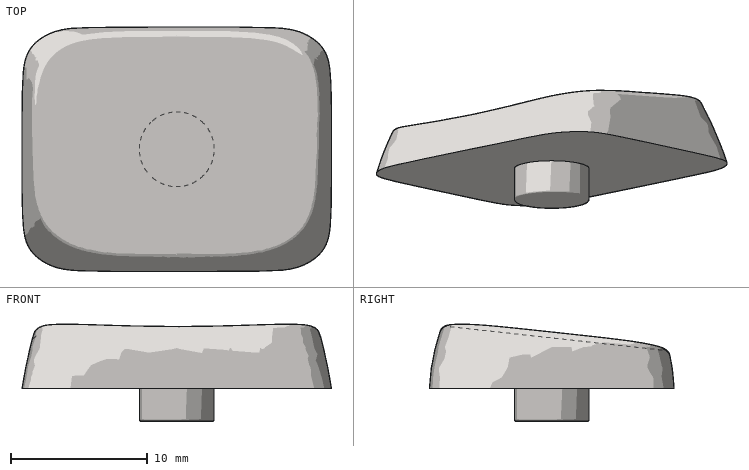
import cadquery as cq
import math

cap_length = 22.76
cap_width = 18.0
base_roundness = 0.159

end_slope = 0.154
end_curl = 0.0148
flank_slope = 0.045
flank_curl = 0.034
roundness_growth = 0.0215
blank_height = 6.0
section_count = 4
quarter_steps = 9

dish_radius = 115.0
dish_tilt = 6.3
dish_height = 3.72
rim_radius = 0.5

stem_diameter = 5.5
stem_length = 2.42
stem_edge_radius = 0.15


def half_outline(height):
    """Points of the +X half of the superellipse outline, from the -Y middle to the +Y middle."""
    half_length = cap_length / 2 - end_slope * height - end_curl * height**2
    half_width = cap_width / 2 - flank_slope * height - flank_curl * height**2
    roundness = base_roundness + roundness_growth * height
    exponent = 1 / roundness

    quarter = []
    for index in range(quarter_steps):
        angle = index * math.pi / 2 / quarter_steps
        across = math.cos(angle)
        along = math.sin(angle)
        reach = (across**exponent + along**exponent) ** -roundness
        quarter.append((half_length * reach * across, half_width * reach * along))
    quarter.append((0, half_width))
    mirrored = [(x, -y) for x, y in reversed(quarter[1:])]
    return mirrored + quarter


def outline_wire(height):
    """Closed outline made of two mirrored splines that meet on the YZ plane."""
    right = [cq.Vector(x, y, height) for x, y in half_outline(height)]
    left = [cq.Vector(-point.x, point.y, height) for point in reversed(right)]
    toward_right = cq.Vector(1, 0, 0)
    toward_left = cq.Vector(-1, 0, 0)
    right_edge = cq.Edge.makeSpline(right, tangents=[toward_right, toward_left])
    left_edge = cq.Edge.makeSpline(left, tangents=[toward_left, toward_right])
    return cq.Wire.assembleEdges([right_edge, left_edge])


def make_skirt():
    """Tapering blank lofted through outlines at evenly spaced heights."""
    step = blank_height / (section_count - 1)
    wires = [outline_wire(index * step) for index in range(section_count)]
    return cq.Workplane(cq.Solid.makeLoft(wires))


def make_dish_cutter():
    """Large cylinder whose lowest line is the valley of the tilted top face."""
    cutter_length = 3 * cap_width
    tilt = math.radians(dish_tilt)
    axis = cq.Vector(0, math.cos(tilt), -math.sin(tilt))
    up = cq.Vector(0, math.sin(tilt), math.cos(tilt))
    valley = cq.Vector(0, 0, dish_height)
    start = valley + up * dish_radius - axis * (cutter_length / 2)
    return cq.Workplane(cq.Solid.makeCylinder(dish_radius, cutter_length, start, axis))


def make_cap():
    """Skirt cut by the dish, with a rounded rim."""
    cap = make_skirt().cut(make_dish_cutter())
    return cap.faces(">Z").edges().fillet(rim_radius)


def make_stem():
    """Round stem hanging from the underside, with a softened lower edge."""
    stem = cq.Workplane("XY").circle(stem_diameter / 2).extrude(-stem_length)
    return stem.faces("<Z").edges().fillet(stem_edge_radius)


result = make_cap().union(make_stem(), clean=False)